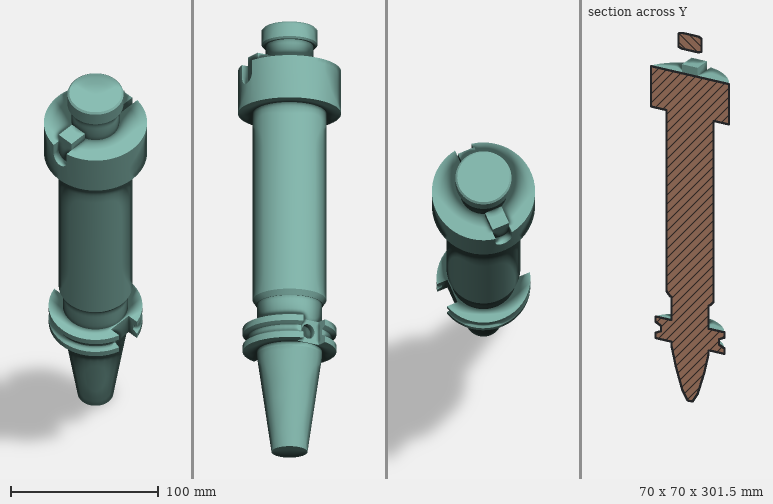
import cadquery as cq
import math

gauge_z = 68.8
flange_bottom_z = 71.5
flange_top_z = 87.8
neck_top_z = 104.7
shank_bottom_z = 108.3
collar_bottom_z = 241.5
collar_top_z = 271.7
head_bottom_z = 289.5
overall_height = 301.5

taper_large_diameter = 44.3
taper_small_diameter = 24.5
flange_diameter = 63.5
neck_diameter = taper_large_diameter
shank_diameter = 50.0
shank_lower_diameter = 45.2
collar_diameter = 70.0
pilot_diameter = 32.3

groove_floor_diameter = 56.7
groove_lip = 4.2
groove_wall_angle = 30.0

notch_width = 17.2
notch_floor_distance = 23.0
notch_hole_diameter = 10.3
notch_hole_depth = 4.8

key_width = 12.0
key_top_z = 278.0
key_bottom_z = 256.7
key_inner_y = 16.5
key_outer_y = 29.5

head_diameter = 38.0
head_chamfer = 1.2


def make_revolved_holder():
    """Turned body: taper, grooved flange, neck, shank, collar and pilot."""
    taper_radius = taper_large_diameter / 2
    flange_radius = flange_diameter / 2
    groove_radius = groove_floor_diameter / 2
    groove_wall_rise = (flange_radius - groove_radius) * math.tan(math.radians(groove_wall_angle))
    groove_bottom_z = flange_bottom_z + groove_lip
    groove_top_z = flange_top_z - groove_lip
    profile = [
        (0, 0),
        (taper_small_diameter / 2, 0),
        (taper_radius, gauge_z),
        (taper_radius, flange_bottom_z),
        (flange_radius, flange_bottom_z),
        (flange_radius, groove_bottom_z),
        (groove_radius, groove_bottom_z + groove_wall_rise),
        (groove_radius, groove_top_z - groove_wall_rise),
        (flange_radius, groove_top_z),
        (flange_radius, flange_top_z),
        (neck_diameter / 2, flange_top_z),
        (neck_diameter / 2, neck_top_z),
        (shank_lower_diameter / 2, neck_top_z),
        (shank_diameter / 2, shank_bottom_z),
        (shank_diameter / 2, collar_bottom_z),
        (collar_diameter / 2, collar_bottom_z),
        (collar_diameter / 2, collar_top_z),
        (pilot_diameter / 2, collar_top_z),
        (pilot_diameter / 2, head_bottom_z),
        (0, head_bottom_z),
    ]
    return cq.Workplane("XZ").polyline(profile).close().revolve(360, (0, 0, 0), (0, 1, 0))


def make_round_bottom_bar(side, outer_y, top_z):
    """Radial bar with a half-round underside, on the +Y (1) or -Y (-1) side."""
    half_width = key_width / 2
    arc_center_z = key_bottom_z + half_width
    return (
        cq.Workplane("XZ", origin=(0, side * key_inner_y, 0))
        .moveTo(-half_width, top_z)
        .lineTo(-half_width, arc_center_z)
        .threePointArc((0, key_bottom_z), (half_width, arc_center_z))
        .lineTo(half_width, top_z)
        .close()
        .extrude(-side * (outer_y - key_inner_y))
    )


def make_flange_notch(side):
    """Cutter for the flat-floored notch on the +X (1) or -X (-1) side."""
    notch_depth = flange_diameter / 2 - notch_floor_distance
    center_x = side * (notch_floor_distance + notch_depth / 2)
    flange_height = flange_top_z - flange_bottom_z
    return (
        cq.Workplane("XY", origin=(center_x, 0, flange_bottom_z))
        .rect(notch_depth, notch_width)
        .extrude(flange_height)
    )


def make_notch_hole():
    """Cutter for the blind hole in the -X notch floor."""
    center_z = (flange_bottom_z + flange_top_z) / 2
    return (
        cq.Workplane("YZ", origin=(-notch_floor_distance, 0, center_z))
        .circle(notch_hole_diameter / 2)
        .extrude(notch_hole_depth)
    )


def make_holder():
    body = make_revolved_holder()
    for side in (-1, 1):
        body = body.cut(make_flange_notch(side))
        body = body.cut(make_round_bottom_bar(side, collar_diameter / 2, collar_top_z))
    return body.cut(make_notch_hole())


def make_drive_key(side):
    return make_round_bottom_bar(side, key_outer_y, key_top_z)


def make_screw_head():
    """Round head seated on the end of the pilot, chamfered on both rims."""
    return (
        cq.Workplane("XY", origin=(0, 0, head_bottom_z))
        .circle(head_diameter / 2)
        .extrude(overall_height - head_bottom_z)
        .edges()
        .chamfer(head_chamfer)
    )


holder = make_holder()
drive_keys = [make_drive_key(side) for side in (-1, 1)]
screw_head = make_screw_head()

result = cq.Compound.makeCompound([
    holder.val(),
    *[key.val() for key in drive_keys],
    screw_head.val(),
])